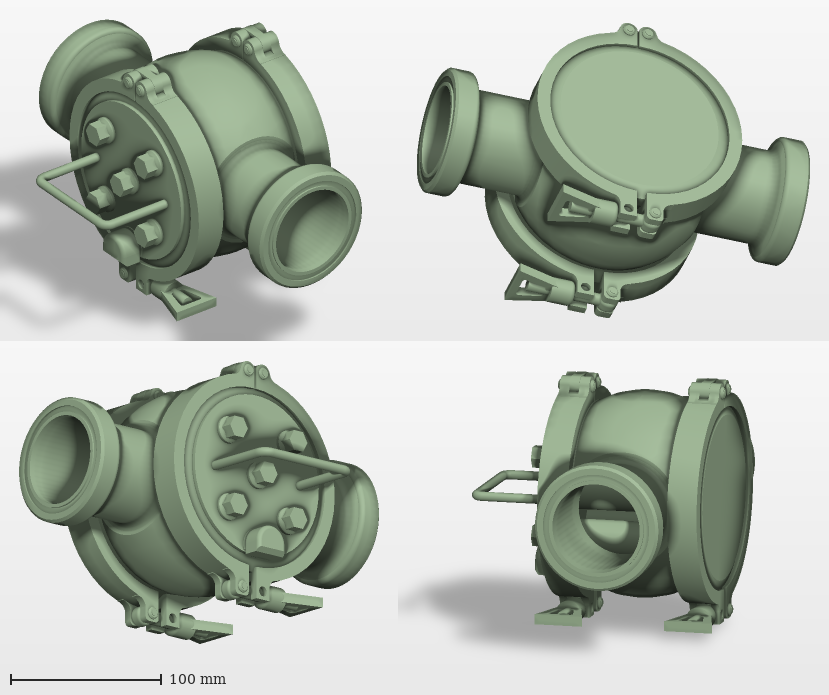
import cadquery as cq
import math


length = 248.0
ball_radius = 69.2
wall = 3.0
neck_flat_x = 57.3
neck_flat_radius = math.sqrt(ball_radius**2 - neck_flat_x**2)
neck_fillet = 4.5
pipe_radius = 31.7
bore_radius = 30.0

flange_radius = 42.5
flange_rim = 13.6
flange_edge_chamfer = 1.7
flange_back_round = 3.2
flange_back_step_x = 105.2
flange_back_step_radius = 34.7
flange_root_x = 100.7
seal_outer_radius = 36.5
seal_inner_radius = 32.5
seal_depth = 1.2

joint_y = 44.6
mouth_rim = 1.2
cover_rim = 6.2
rim_radius = 64.5
mouth_y = 34.2
mouth_outer_radius = math.sqrt(ball_radius**2 - mouth_y**2)
mouth_radius = 56.0
cover_radius = 55.3
cover_taper_y = 54.3
front_cover_y = 57.3

clamp_radius = 70.2
clamp_bore_radius = 61.3
clamp_width = 20.3
clamp_spread = 1.5
clamp_centre_z = -0.5
ear_base_z = 63.5
ear_blend = 7.0
pin_head_radius = 4.1
pin_head_height = 1.85
pin_head_chamfer = 1.0
pin_tip_radius = 2.2
pin_tip_height = 0.5

hinge_x = 1.0
hinge_z = 72.2
hinge_pin_offset = 6.57
hinge_knuckle_radius = 6.32
hinge_gap = 1.5
hinge_link_radius = 6.7
hinge_link_width = 6.7

latch_x = -1.5
latch_z = -77.5
latch_pin_offset = 9.2
latch_gap = 7.0
latch_ear_outer = 15.1
latch_ear_tip = 83.3
latch_ear_round = 3.0
latch_slot_width = 9.7
eye_diameter = 13.6
eye_width = 9.0
eye_fillet = 2.5
ear_hole_diameter = 6.7
ear_hole_depth = 3.7

rod_diameter = 8.2
rod_end_x = 45.5
nut_diameter = 16.9
nut_start_x = 13.6
nut_end_x = 30.3
nut_fillet = 3.0
wing_start_x = 24.8
wing_end_x = 55.5
wing_start_half = 7.5
wing_end_half = 16.4
wing_thickness = 6.7
window_start_x = 33.5
window_end_x = 50.8
window_start_half = 4.7
window_end_half = 9.0
window_round = 2.0

tube_diameter = 25.0
tube_pitch = 53.0
tube_places = [(0, 0)] + [(sx * tube_pitch / 2, sz * tube_pitch / 2) for sx in (-1, 1) for sz in (-1, 1)]
washer_diameter = 18.0
washer_rim = 2.2
washer_height = 4.5
bolt_flats = 13.6
bolt_height = 12.0

handle_diameter = 6.2
handle_half_span = 37.7
handle_y = -106.76
handle_bend = 5.5

knob_radius = 12.03
knob_centre_z = -49.0
knob_bottom_z = -56.5
knob_start_y = -58.0
knob_end_y = -73.0
knob_fillet = 2.7
knob_back_fillet = 2.2
knob_bottom_chamfer = 3.2
knob_washer_diameter = 25.0
knob_washer_bottom_z = -53.0


def cylinder_y(radius, y_start, y_end, x=0.0, z=0.0):
    """Cylinder along Y between two Y positions."""
    start = cq.Vector(x, y_start, z)
    direction = cq.Vector(0, y_end - y_start, 0)
    return cq.Workplane(cq.Solid.makeCylinder(radius, abs(y_end - y_start), start, direction))


def cylinder_x(radius, x_start, x_end, z=0.0):
    """Cylinder along X between two X positions."""
    start = cq.Vector(x_start, 0, z)
    return cq.Workplane(cq.Solid.makeCylinder(radius, x_end - x_start, start, cq.Vector(1, 0, 0)))


def pipe_arm():
    """Solid pipe arm with neck blend and end flange, on the +X side."""
    end_x = length / 2
    rim_back_x = end_x - flange_rim
    arc_inset = 1 - math.sqrt(0.5)
    neck_end_x = neck_flat_x + neck_fillet
    neck_start_radius = pipe_radius + neck_fillet
    profile = (
        cq.Workplane("XY")
        .lineTo(neck_flat_x, 0)
        .lineTo(neck_flat_x, neck_flat_radius)
        .lineTo(neck_flat_x, neck_start_radius)
        .threePointArc(
            (neck_flat_x + neck_fillet * arc_inset, pipe_radius + neck_fillet * arc_inset),
            (neck_end_x, pipe_radius),
        )
        .lineTo(flange_root_x, pipe_radius)
        .tangentArcPoint((flange_back_step_x, flange_back_step_radius), relative=False)
        .lineTo(rim_back_x - flange_back_round, flange_radius - flange_back_round)
        .threePointArc(
            (rim_back_x - flange_back_round * (1 - arc_inset), flange_radius - flange_back_round * arc_inset),
            (rim_back_x, flange_radius),
        )
        .lineTo(end_x - flange_edge_chamfer, flange_radius)
        .lineTo(end_x, flange_radius - flange_edge_chamfer)
        .lineTo(end_x, 0)
        .close()
    )
    arm = profile.revolve(360, (0, 0, 0), (1, 0, 0))
    seal_start_x = end_x - seal_depth
    seal_groove = cylinder_x(seal_outer_radius, seal_start_x, end_x).cut(
        cylinder_x(seal_inner_radius, seal_start_x, end_x)
    )
    return arm.cut(seal_groove)


def ball_mouth():
    """Rim that joins the ball to the front clamp, tapered towards the ball."""
    return (
        cq.Workplane("XY")
        .moveTo(0, -mouth_y)
        .lineTo(mouth_outer_radius, -mouth_y)
        .lineTo(rim_radius, -joint_y + mouth_rim)
        .lineTo(rim_radius, -joint_y)
        .lineTo(0, -joint_y)
        .close()
        .revolve(360, (0, 0, 0), (0, 1, 0))
    )


def housing():
    """Hollow ball with two pipe arms and two open mouths."""
    side_limit = cq.Workplane("XY").box(2 * neck_flat_x, 2 * mouth_y, 2 * ball_radius)
    body = cq.Workplane("XY").sphere(ball_radius).intersect(side_limit)
    mouth = ball_mouth()
    arm = pipe_arm()
    body = body.union(mouth).union(mouth.mirror("XZ"))
    body = body.union(arm).union(arm.mirror("YZ"))
    body = body.cut(cylinder_x(bore_radius, -length / 2, length / 2))
    body = body.cut(cylinder_y(mouth_radius, -joint_y, joint_y))
    cavity = cq.Workplane("XY").sphere(ball_radius - wall)
    return body.cut(cavity.intersect(side_limit))


def cover():
    """Round plate on the -Y side whose rim tapers out to the clamped joint."""
    return (
        cq.Workplane("XY")
        .moveTo(0, -joint_y)
        .lineTo(rim_radius, -joint_y)
        .lineTo(rim_radius, -joint_y - cover_rim)
        .lineTo(cover_radius, -cover_taper_y)
        .lineTo(0, -cover_taper_y)
        .close()
        .revolve(360, (0, 0, 0), (0, 1, 0))
    )


def ear_profile(inner_x, outer_x, tip_z, centre_z):
    """Outline of a +X, +Z ear that blends from a clamp ring centred at centre_z up to its tip."""
    blend_x = outer_x + ear_blend
    ring_z = centre_z + math.sqrt(clamp_radius**2 - (blend_x - clamp_spread) ** 2)
    blend_top_z = ring_z + 0.9 * ear_blend
    return (
        cq.Workplane("XZ")
        .moveTo(inner_x, ear_base_z)
        .lineTo(inner_x, tip_z)
        .lineTo(outer_x, tip_z)
        .lineTo(outer_x, blend_top_z)
        .threePointArc(
            (outer_x + 0.3 * ear_blend, ring_z + 0.3 * ear_blend),
            (blend_x, ring_z),
        )
        .lineTo(blend_x, ear_base_z)
        .close()
    )


def pin(x, z):
    """Pin along Y with a chamfered head and a small raised tip at both ends."""
    head_end = clamp_width / 2 + pin_head_height
    body = cylinder_y(pin_head_radius, -head_end, head_end, x, z).faces("<Y or >Y").chamfer(pin_head_chamfer)
    tip_end = head_end + pin_tip_height
    return body.union(cylinder_y(pin_tip_radius, -tip_end, tip_end, x, z))


def ear_slot(width):
    """Ring-shaped space outside the clamp ring, as wide as the slot between two lugs."""
    outer = cylinder_y(2 * clamp_radius, -width / 2, width / 2)
    return outer.cut(cylinder_y(clamp_radius, -width / 2, width / 2))


def hinge_ears():
    """Pair of rounded ears with a central slot for the hinge link."""
    ear = ear_profile(hinge_gap / 2, hinge_pin_offset + hinge_knuckle_radius, hinge_z, clamp_centre_z)
    ear = ear.extrude(clamp_width / 2, both=True)
    ear = ear.union(
        cylinder_y(hinge_knuckle_radius, -clamp_width / 2, clamp_width / 2, hinge_pin_offset, hinge_z)
    )
    slot = ear_slot(hinge_link_width)
    ear = ear.cut(slot)
    return ear.union(ear.mirror("YZ")).translate((hinge_x, 0, 0))


def hinge_link():
    """Link that ties the two hinge ears together, with its two pins."""
    link = (
        cq.Workplane("XZ", origin=(hinge_x, 0, hinge_z))
        .slot2D(2 * (hinge_pin_offset + hinge_link_radius), 2 * hinge_link_radius)
        .extrude(hinge_link_width / 2, both=True)
    )
    for side in (-1, 1):
        link = link.union(pin(hinge_x + side * hinge_pin_offset, hinge_z))
    return link


def latch_ears():
    """Pair of lower ears: the left one is rounded, the right one has blind pin holes."""
    right = ear_profile(latch_gap / 2, latch_ear_outer, latch_ear_tip, -clamp_centre_z)
    right = right.extrude(clamp_width / 2, both=True)
    slot = ear_slot(latch_slot_width)
    left = right.mirror("YZ").faces(">Z").edges("|Y").fillet(latch_ear_round).cut(slot)
    right = right.cut(slot)
    for side in (-1, 1):
        face_y = side * clamp_width / 2
        hole = cylinder_y(
            ear_hole_diameter / 2, face_y, face_y - side * ear_hole_depth, latch_pin_offset, -latch_z
        )
        right = right.cut(hole)
    return left.union(right).mirror("XY").translate((latch_x, 0, 0))


def trapezoid_plate(start_x, end_x, start_half, end_half):
    """Horizontal plate that widens from start_x to end_x, centred on the latch height."""
    return (
        cq.Workplane("XY", origin=(0, 0, latch_z))
        .polyline([(start_x, -start_half), (end_x, -end_half), (end_x, end_half), (start_x, start_half)])
        .close()
        .extrude(wing_thickness / 2, both=True)
    )


def eye_bolt():
    """Eye bolt on the left latch pin, with its wing nut against the right ear."""
    eye_x = latch_x - latch_pin_offset
    eye = cylinder_y(eye_diameter / 2, -eye_width / 2, eye_width / 2, eye_x, latch_z)
    eye = eye.faces("<Y or >Y").edges().fillet(eye_fillet)
    rod = cylinder_x(rod_diameter / 2, eye_x, rod_end_x, latch_z)
    nut = cylinder_x(nut_diameter / 2, nut_start_x, nut_end_x, latch_z).faces("<X").edges().fillet(nut_fillet)
    wing = trapezoid_plate(wing_start_x, wing_end_x, wing_start_half, wing_end_half)
    window = trapezoid_plate(window_start_x, window_end_x, window_start_half, window_end_half)
    wing = wing.cut(window.edges("|Z").fillet(window_round))
    return eye.union(pin(eye_x, latch_z)).union(wing).union(nut).union(rod)


def spread_disc(radius):
    """Two half discs as thick as the clamp, shifted apart along X."""
    half_width = clamp_width / 2
    side_block = cq.Workplane("XY").box(4 * clamp_radius, clamp_width, 4 * clamp_radius)
    right = cylinder_y(radius, -half_width, half_width, clamp_spread, clamp_centre_z)
    right = right.intersect(side_block.translate((2 * clamp_radius, 0, 0)))
    left = right.mirror("YZ")
    return right.union(left)


def clamp():
    """Split clamp ring centred on Y = 0, hinged at the top and latched at the bottom."""
    ring = spread_disc(clamp_radius).union(hinge_ears()).union(latch_ears())
    ring = ring.cut(spread_disc(clamp_bore_radius))
    split_height = 2 * clamp_radius
    hinge_split = cq.Workplane("XY").box(hinge_gap, clamp_width, split_height)
    latch_split = cq.Workplane("XY").box(latch_gap, clamp_width, split_height)
    ring = ring.cut(hinge_split.translate((hinge_x, 0, split_height / 2)))
    ring = ring.cut(latch_split.translate((latch_x, 0, -split_height / 2)))
    return ring.union(hinge_link()).union(eye_bolt())


def bolt(x, z):
    """Hexagon bolt on a tapered washer, standing on the front cover."""
    washer = cylinder_y(washer_diameter / 2, -front_cover_y, -front_cover_y - washer_height, x, z)
    washer = washer.faces("<Y").chamfer(washer_height - washer_rim)
    corner_diameter = bolt_flats / math.cos(math.pi / 6)
    head = (
        cq.Workplane("XZ", origin=(x, -front_cover_y, z))
        .polygon(6, corner_diameter)
        .extrude(bolt_height)
    )
    return washer.union(head)


def handle():
    """Bent round bar standing on the front cover."""
    bend_x = handle_half_span - handle_bend
    bend_y = handle_y + handle_bend
    bend_inset = handle_bend * (1 - math.sqrt(0.5))
    path = (
        cq.Workplane("XY")
        .moveTo(-handle_half_span, -front_cover_y)
        .lineTo(-handle_half_span, bend_y)
        .threePointArc((-handle_half_span + bend_inset, handle_y + bend_inset), (-bend_x, handle_y))
        .lineTo(bend_x, handle_y)
        .threePointArc((handle_half_span - bend_inset, handle_y + bend_inset), (handle_half_span, bend_y))
        .lineTo(handle_half_span, -front_cover_y)
    )
    section = cq.Workplane("XZ", origin=(-handle_half_span, -front_cover_y, 0)).circle(handle_diameter / 2)
    return section.sweep(path)


def knob():
    """Round-topped knob with a flat underside, on a washer cut off at the cover edge."""
    body = (
        cq.Workplane("XZ", origin=(0, knob_start_y, 0))
        .moveTo(-knob_radius, knob_bottom_z)
        .lineTo(-knob_radius, knob_centre_z)
        .threePointArc((0, knob_centre_z + knob_radius), (knob_radius, knob_centre_z))
        .lineTo(knob_radius, knob_bottom_z)
        .close()
        .extrude(knob_start_y - knob_end_y)
    )
    body = body.faces("<Z").edges("<Y").chamfer(knob_bottom_chamfer)
    body = body.faces("<Y").edges("not <Z").fillet(knob_fillet)
    body = body.faces(">Y").edges("not <Z").fillet(knob_back_fillet)
    washer = cylinder_y(knob_washer_diameter / 2, -joint_y, knob_start_y, 0, knob_centre_z)
    below_washer = cq.Workplane("XY").box(length, length, length)
    below_washer = below_washer.translate((0, 0, knob_washer_bottom_z - length / 2))
    return body.union(washer.cut(below_washer))


result = housing()
result = result.union(cover()).union(cylinder_y(cover_radius, -joint_y, -front_cover_y))
result = result.union(cover().mirror("XZ"))
clamp_ring = clamp()
for clamp_y in (-joint_y, joint_y):
    result = result.union(clamp_ring.translate((0, clamp_y, 0)))
for tube_x, tube_z in tube_places:
    result = result.union(cylinder_y(tube_diameter / 2, -joint_y, joint_y, tube_x, tube_z))
    result = result.union(bolt(tube_x, tube_z))
result = result.union(handle()).union(knob())